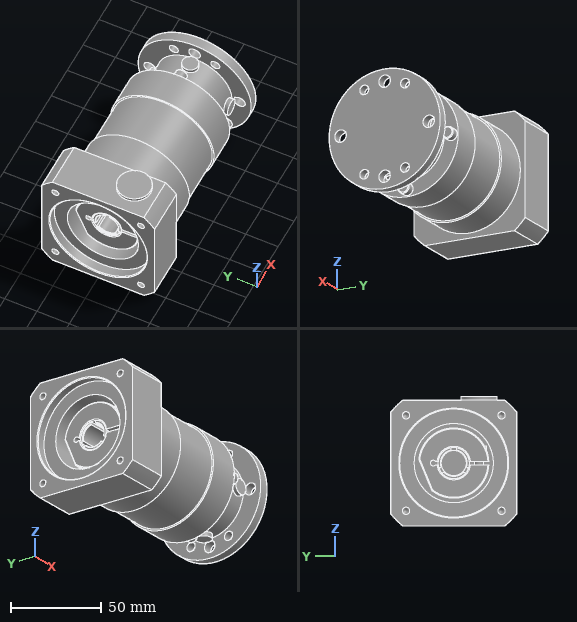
import cadquery as cq
import math

total_length = 127.5
housing_side = 70.0
housing_corner_diameter = 90.0
housing_end = 27.4

rear_body_end = 49.7
ring_gear_end = 80.7
front_body_end = 100.6
body_diameter = 64.0
ring_gear_diameter = 62.0
neck_diameter = 46.2

flange_diameter = housing_side
flange_thickness = 6.1
flange_start = total_length - flange_thickness
hole_count = 4
hole_circle_radius = 27.8
access_hole_diameter = 7.1
mount_hole_diameter = 5.5
mount_hole_angle = 27.5

screw_head_diameter = 7.0
screw_head_height = 5.1
screw_head_chamfer = 0.5

plug_diameter = 9.5
plug_x = 115.9
plug_radius = 25.4

cover_diameter = 20.0
cover_height = 2.0

pilot_diameter = 60.0
pilot_chamfer = 0.5
pilot_depth = 6.0
pocket_diameter = 44.0
pocket_floor = 25.0

motor_hole_diameter = 4.1
motor_hole_depth = 10.2
motor_hole_offset = 26.5
drill_point_angle = 118.0

hub_face = 10.8
hub_diameter = 39.0
hub_chamfer = 0.5
hub_flat_distance = 17.1
hub_flat_angle = -22.5
hub_bore_diameter = 17.3
hub_bore_chamfer = 0.6
slot_width = 2.0
relief_diameter = 3.2
relief_y = 11.3

clamp_x = 17.1
clamp_y = -14.0
clamp_shank_diameter = 5.0
clamp_head_diameter = 8.4
clamp_head_bottom = 4.5
clamp_head_top = 9.5

bushing_setback = 0.4
bushing_face = hub_face + bushing_setback
shaft_diameter = 14.0
bushing_diameter = hub_bore_diameter
bushing_chamfer = 0.4
bushing_split = 3.2
bushing_splits = 3
shaft_bore_end = 38.2


def disc(diameter, start, end):
    """Cylinder on the X axis from start to end."""
    return cq.Workplane("YZ").workplane(offset=start).circle(diameter / 2).extrude(end - start)


def post(diameter, x, y, bottom, top):
    """Cylinder parallel to the Z axis."""
    base = cq.Workplane("XY").workplane(offset=bottom).center(x, y)
    return base.circle(diameter / 2).extrude(top - bottom)


def make_housing():
    square = cq.Workplane("YZ").rect(housing_side, housing_side).extrude(housing_end)
    return square.intersect(disc(housing_corner_diameter, 0, housing_end))


def make_body():
    body = disc(body_diameter, housing_end, rear_body_end)
    body = body.union(disc(ring_gear_diameter, rear_body_end, ring_gear_end))
    body = body.union(disc(body_diameter, ring_gear_end, front_body_end))
    return body.union(disc(neck_diameter, front_body_end, flange_start))


def make_flange():
    flange = disc(flange_diameter, flange_start, total_length)
    access_holes = (
        cq.Workplane("YZ").workplane(offset=flange_start)
        .polarArray(hole_circle_radius, 0, 360, hole_count)
        .circle(access_hole_diameter / 2).extrude(flange_thickness)
    )
    mount_y = hole_circle_radius * math.sin(math.radians(mount_hole_angle))
    mount_z = hole_circle_radius * math.cos(math.radians(mount_hole_angle))
    mount_holes = (
        cq.Workplane("YZ").workplane(offset=flange_start)
        .rect(2 * mount_y, 2 * mount_z, forConstruction=True).vertices()
        .circle(mount_hole_diameter / 2).extrude(flange_thickness)
    )
    return flange.cut(access_holes).cut(mount_holes)


def make_cap_screws():
    return (
        cq.Workplane("YZ").workplane(offset=front_body_end)
        .polarArray(hole_circle_radius, 0, 360, hole_count)
        .circle(screw_head_diameter / 2).extrude(screw_head_height)
        .faces(">X").chamfer(screw_head_chamfer)
    )


def make_plugs():
    plug = post(plug_diameter, plug_x, 0, -plug_radius, plug_radius)
    return plug.union(plug.rotate((0, 0, 0), (1, 0, 0), 90))


def make_cover():
    face_z = housing_side / 2
    return post(cover_diameter, clamp_x, clamp_y, face_z, face_z + cover_height)


def make_motor_holes():
    radius = motor_hole_diameter / 2
    point = radius / math.tan(math.radians(drill_point_angle / 2))
    profile = [(0, 0), (0, radius), (motor_hole_depth, radius), (motor_hole_depth + point, 0)]
    hole = cq.Workplane("XY").polyline(profile).close().revolve(360, (0, 0, 0), (1, 0, 0))
    holes = cq.Workplane("XY")
    for y in (-motor_hole_offset, motor_hole_offset):
        for z in (-motor_hole_offset, motor_hole_offset):
            holes = holes.add(hole.translate((0, y, z)))
    return holes.combine()


def make_pocket():
    pilot = disc(pilot_diameter, 0, pilot_depth)
    lead_in = (
        disc(pilot_diameter + 2 * pilot_chamfer, -pilot_chamfer, pilot_chamfer)
        .faces(">X").chamfer(pilot_chamfer)
    )
    return pilot.union(lead_in).union(disc(pocket_diameter, pilot_depth, pocket_floor))


def make_hub():
    length = pocket_floor - hub_face
    hub = disc(hub_diameter, hub_face, pocket_floor)
    waste = (
        cq.Workplane("YZ").workplane(offset=hub_face)
        .center(hub_flat_distance + hub_diameter / 2, 0)
        .rect(hub_diameter, hub_diameter).extrude(length)
        .rotate((0, 0, 0), (1, 0, 0), hub_flat_angle)
    )
    hub = hub.cut(waste).faces("<X").chamfer(hub_chamfer)
    hub = hub.cut(disc(hub_bore_diameter, hub_face, pocket_floor))
    bore_edge = cq.selectors.RadiusNthSelector(0)
    hub = hub.faces("<X").edges("%CIRCLE").edges(bore_edge).chamfer(hub_bore_chamfer)
    slot = (
        cq.Workplane("YZ").workplane(offset=hub_face)
        .center((relief_y - hub_diameter) / 2, 0)
        .rect(relief_y + hub_diameter, slot_width).extrude(length)
    )
    relief = disc(relief_diameter, hub_face, pocket_floor).translate((0, relief_y, 0))
    return hub.cut(slot).cut(relief)


def make_clamp_screw():
    shank = post(clamp_shank_diameter, clamp_x, clamp_y, -clamp_head_top, clamp_head_bottom)
    return shank.union(post(clamp_head_diameter, clamp_x, clamp_y, clamp_head_bottom, clamp_head_top))


def make_bushing():
    bushing = disc(bushing_diameter, bushing_face, pocket_floor)
    bushing = bushing.cut(disc(shaft_diameter, bushing_face, pocket_floor))
    bore_edge = cq.selectors.RadiusNthSelector(0)
    bushing = bushing.faces("<X").edges(bore_edge).chamfer(bushing_chamfer)
    split = (
        cq.Workplane("YZ").workplane(offset=bushing_face)
        .center(0, bushing_diameter / 2)
        .rect(bushing_split, bushing_diameter).extrude(pocket_floor - bushing_face)
    )
    for index in range(bushing_splits):
        bushing = bushing.cut(split.rotate((0, 0, 0), (1, 0, 0), index * 360 / bushing_splits))
    return bushing


result = make_housing().union(make_body()).union(make_flange())
result = result.union(make_cap_screws()).union(make_plugs()).union(make_cover())
result = result.cut(make_pocket()).cut(make_motor_holes())
result = result.union(make_hub()).union(make_clamp_screw()).union(make_bushing())
result = result.cut(disc(shaft_diameter, pocket_floor, shaft_bore_end))